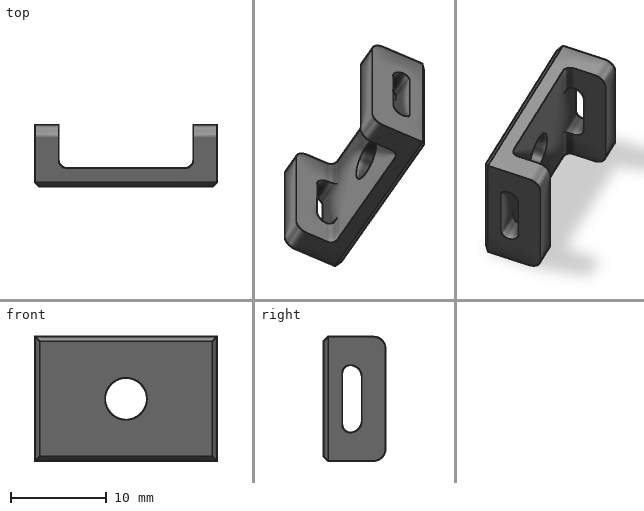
import cadquery as cq

length = 19.0
depth = 6.5
height = 13.0

base_thickness = 2.0
arm_thickness = 2.5
inner_fillet = 0.8
arm_corner_radius = 1.3
front_chamfer = 0.5

hole_diameter = 4.33
slot_length = 7.0
slot_back_radius = 1.2
slot_front_radius = 0.8
slot_front = base_thickness
slot_middle = slot_front + slot_front_radius
slot_back = slot_middle + slot_back_radius


def bracket_body():
    """Block with a chamfered front face and rounded arm tips, hollowed from behind."""
    block = cq.Workplane("XY").box(length, depth, height, centered=(True, False, True))
    block = block.faces("<Y").edges().chamfer(front_chamfer)
    block = block.faces(">Y").edges("|X").fillet(arm_corner_radius)
    channel = (
        cq.Workplane("XY")
        .box(length - 2 * arm_thickness, depth, height, centered=(True, False, True))
        .translate((0, base_thickness, 0))
        .edges("|Z and <Y")
        .fillet(inner_fillet)
    )
    return block.cut(channel)


def base_hole():
    """Round hole through the middle of the base, along Y."""
    return cq.Workplane("XZ").circle(hole_diameter / 2).extrude(-depth)


def arm_slot():
    """Slot through both arms, along X, with larger corner radii on the open side."""
    end = slot_length / 2
    front_straight = end - slot_front_radius
    back_straight = end - slot_back_radius
    outline = (
        cq.Workplane("YZ")
        .moveTo(slot_front, -front_straight)
        .lineTo(slot_front, front_straight)
        .radiusArc((slot_middle, end), slot_front_radius)
        .radiusArc((slot_back, back_straight), slot_back_radius)
        .lineTo(slot_back, -back_straight)
        .radiusArc((slot_middle, -end), slot_back_radius)
        .radiusArc((slot_front, -front_straight), slot_front_radius)
        .close()
    )
    return outline.extrude(length / 2, both=True)


result = bracket_body().cut(base_hole()).cut(arm_slot())